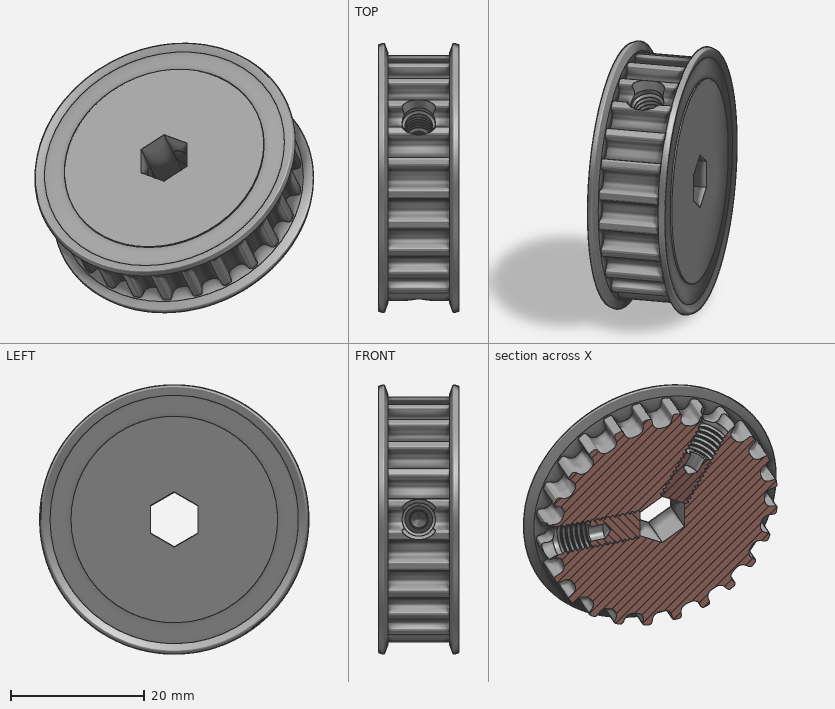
import cadquery as cq
import math

tooth_count = 24
tooth_pitch = 5.0
belt_line_offset = 0.57
tip_radius = tooth_count * tooth_pitch / (2 * math.pi) - belt_line_offset
groove_depth = 2.1
groove_floor_half_width = 0.31
groove_mouth_half_width = 2.07
groove_flank_angle = math.radians(10)
tooth_tip_rounding = 0.47

toothed_width = 9.3
hub_radius = 15.5
hub_projection = 0.25
hex_across_flats = 7.1

flange_thickness = 1.0
flange_outer_radius = 20.22
flange_flare_angle = math.radians(20)
rim_rounding = 0.25
overall_width = 12.11

screw_length = 8.0
screw_angles = (0, -120)
thread_major_radius = 2.5
thread_pitch = 0.8
thread_depth = 0.433
thread_minor_radius = thread_major_radius - thread_depth
thread_crest_width = thread_pitch / 8
socket_radius = 1.26
socket_chamfer = 0.19
socket_depth = 2.5
socket_tip_half_angle = math.radians(59)
countersink_radius = 3.15
countersink_half_angle = math.radians(20)
hole_thread_turns = 16
clearance = 1.0

screw_inner_end = hex_across_flats / 2
screw_outer_end = screw_inner_end + screw_length
hub_width = toothed_width + 2 * (flange_thickness + hub_projection)


def cylinder_along_x(radius, width):
    return cq.Workplane("YZ").circle(radius).extrude(width / 2, both=True)


def turned_about_x(body, angle):
    return body.rotate((0, 0, 0), (1, 0, 0), angle)


def revolve_about_y(points):
    """Turn an outline of (radius, distance) points about the Y axis, running outward along -Y."""
    outline = cq.Workplane("XY").polyline([(radius, -distance) for radius, distance in points]).close()
    return outline.revolve(360, (0, 0, 0), (0, 1, 0))


def tooth_groove():
    """One belt groove centred on +Z, with rounded root and rounded tooth tips."""
    sine = math.sin(groove_flank_angle)
    cosine = math.cos(groove_flank_angle)
    slope = math.tan(groove_flank_angle)
    floor = tip_radius - groove_depth
    mouth = (groove_mouth_half_width, math.sqrt(tip_radius**2 - groove_mouth_half_width**2))
    flank_top = (mouth[0] - tooth_tip_rounding * cosine, mouth[1] - tooth_tip_rounding * (1 - sine))
    root_span = flank_top[0] - groove_floor_half_width - (flank_top[1] - floor) * slope
    root_radius = root_span / (cosine - (1 - sine) * slope)
    flank_bottom = (groove_floor_half_width + root_radius * cosine, floor + root_radius * (1 - sine))
    half_turn = (math.pi / 2 - groove_flank_angle) / 2
    turn_across = math.sin(half_turn)
    turn_rise = 1 - math.cos(half_turn)
    root_mid = (groove_floor_half_width + root_radius * turn_across, floor + root_radius * turn_rise)
    tip_mid = (mouth[0] - tooth_tip_rounding * turn_across, mouth[1] - tooth_tip_rounding * turn_rise)
    above_tips = tip_radius + clearance
    half_profile = (
        cq.Workplane("YZ")
        .moveTo(0, floor)
        .lineTo(groove_floor_half_width, floor)
        .threePointArc(root_mid, flank_bottom)
        .lineTo(*flank_top)
        .threePointArc(tip_mid, mouth)
        .lineTo(mouth[0], above_tips)
        .lineTo(0, above_tips)
        .close()
    )
    half_groove = half_profile.extrude(toothed_width / 2, both=True)
    return half_groove.union(half_groove.mirror("XZ"))


def threaded_rod(start, end):
    """A rod along -Y with whole ring-shaped threads between two distances from the X axis."""
    flank = (thread_pitch - 2 * thread_crest_width) / 2
    points = [(0, start), (thread_minor_radius, start)]
    for turn in range(round((end - start) / thread_pitch)):
        crest_start = start + turn * thread_pitch + thread_crest_width / 2 + flank
        points.append((thread_minor_radius, crest_start - flank))
        points.append((thread_major_radius, crest_start))
        points.append((thread_major_radius, crest_start + thread_crest_width))
        points.append((thread_minor_radius, crest_start + thread_crest_width + flank))
    points += [(thread_minor_radius, end), (0, end)]
    return revolve_about_y(points)


def screw_hole():
    """Threaded hole from the hex bore outward, then a plain relief and a countersink through the teeth."""
    slope = math.tan(countersink_half_angle)
    countersink_start = tip_radius - (countersink_radius - thread_major_radius) / slope
    thread_end = screw_inner_end + hole_thread_turns * thread_pitch
    relief_start = thread_end - thread_pitch / 2
    countersink_end = tip_radius + clearance
    end_radius = countersink_radius + clearance * slope
    entry = revolve_about_y(
        [(0, relief_start), (thread_major_radius, relief_start), (thread_major_radius, countersink_start),
         (end_radius, countersink_end), (0, countersink_end)]
    )
    return threaded_rod(screw_inner_end, thread_end).union(entry)


def make_core():
    core = cylinder_along_x(tip_radius, toothed_width)
    groove = tooth_groove()
    for tooth in range(tooth_count):
        core = core.cut(turned_about_x(groove, tooth * 360 / tooth_count))
    core = core.union(cylinder_along_x(hub_radius, hub_width))
    hex_bore = cq.Workplane("YZ").polygon(6, hex_across_flats, circumscribed=True)
    core = core.cut(hex_bore.extrude(hub_width, both=True))
    hole = screw_hole()
    for angle in screw_angles:
        core = core.cut(turned_about_x(hole, angle))
    return core


def make_flange():
    """The flange on the -X side: a flat ring whose rim is bent outward."""
    inner_face = -toothed_width / 2
    outer_face = inner_face - flange_thickness
    sine = math.sin(flange_flare_angle)
    cosine = math.cos(flange_flare_angle)
    corner_loss = rim_rounding * (sine + cosine - 1)
    sharp_lip_x = -overall_width / 2 - corner_loss
    sharp_rim_radius = flange_outer_radius + corner_loss
    sharp_rim = (sharp_lip_x + flange_thickness * cosine, sharp_rim_radius)
    sharp_lip = (sharp_lip_x, sharp_rim_radius - flange_thickness * sine)
    inner_bend_radius = sharp_rim[1] - (inner_face - sharp_rim[0]) * cosine / sine
    outer_bend_radius = sharp_lip[1] - (outer_face - sharp_lip[0]) * cosine / sine
    ring = (
        cq.Workplane("XY")
        .moveTo(inner_face, hub_radius)
        .lineTo(inner_face, inner_bend_radius)
        .lineTo(*sharp_rim)
        .lineTo(*sharp_lip)
        .lineTo(outer_face, outer_bend_radius)
        .lineTo(outer_face, hub_radius)
        .close()
        .revolve(360, (0, 0, 0), (1, 0, 0))
    )
    rim_edges = cq.selectors.RadiusNthSelector(-1) + cq.selectors.RadiusNthSelector(-2)
    return ring.edges(rim_edges).fillet(rim_rounding)


def make_screw(angle):
    socket_mouth = socket_radius + socket_chamfer
    socket_floor = screw_outer_end - socket_depth
    socket_tip = socket_floor - socket_radius / math.tan(socket_tip_half_angle)
    socket = revolve_about_y(
        [(0, screw_outer_end), (socket_mouth, screw_outer_end),
         (socket_radius, screw_outer_end - socket_chamfer), (socket_radius, socket_floor), (0, socket_tip)]
    )
    screw = threaded_rod(screw_inner_end, screw_outer_end).cut(socket)
    return turned_about_x(screw, angle)


core = make_core()
flange = make_flange()
opposite_flange = flange.mirror("YZ")
screws = [make_screw(angle) for angle in screw_angles]

result = cq.Compound.makeCompound(
    [core.val(), flange.val(), opposite_flange.val()] + [screw.val() for screw in screws]
)